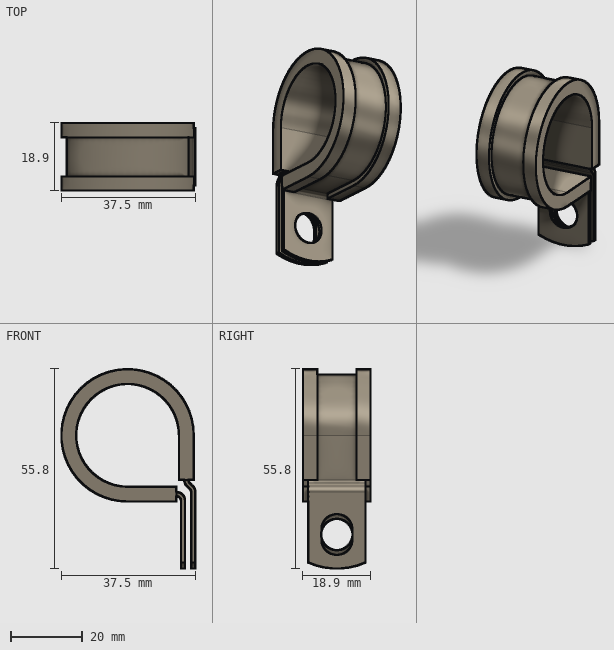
import cadquery as cq
import math


total_length = 37.48
total_height = 55.77
cushion_width = 18.92

bore_radius = 14.32
inner_rubber = 1.5
strap_thickness = 1.2
groove_depth = 1.5
strap_mid_radius = bore_radius + inner_rubber + strap_thickness / 2
strap_outer_radius = strap_mid_radius + strap_thickness / 2
cushion_radius = strap_outer_radius + groove_depth
cushion_mid_radius = (bore_radius + cushion_radius) / 2

upright_leg_length = 12.45
level_leg_length = 13.65
groove_width = 10.9

strap_width = 16.0
corner_bend_radius = 1.85
jog_bend_radius = 1.75
jog_angle = math.radians(45)

tab_end_rise = 1.7
hole_diameter = 8.7
slot_height = 11.4
hole_above_bottom = 9.55
tab_bottom = cushion_radius - total_height
outer_tab_x = total_length - cushion_radius - strap_thickness / 2
inner_tab_x = level_leg_length + corner_bend_radius


def loop_path(workplane, radius):
    """Add the three-quarter loop and its level leg, from the loop's +X point."""
    diagonal = radius * math.sqrt(0.5)
    return (
        workplane.lineTo(radius, 0)
        .threePointArc((-diagonal, diagonal), (0, -radius))
        .lineTo(level_leg_length, -radius)
    )


def sweep_section(path, start, thickness, width):
    """Sweep a rectangle up from the start point, given as (x, z), along a path in XZ."""
    x, z = start
    section = cq.Workplane("XY", origin=(x, 0, z)).rect(thickness, width)
    return section.sweep(path)


def make_loop(mid_radius, thickness, width):
    """Loop with both straight legs, of rectangular section."""
    start = (mid_radius, -upright_leg_length)
    path = loop_path(cq.Workplane("XZ").moveTo(*start), mid_radius)
    return sweep_section(path, start, thickness, width)


def make_cushion():
    """Rubber loop with a groove around its outside."""
    body = make_loop(cushion_mid_radius, cushion_radius - bore_radius, cushion_width)
    groove_mid_radius = strap_outer_radius + groove_depth / 2
    return body.cut(make_loop(groove_mid_radius, groove_depth, groove_width))


def make_strap_blank():
    """Strap of constant width: outer tab, jog, loop, corner bend and inner tab."""
    start = (outer_tab_x, tab_bottom)

    bend_shift = jog_bend_radius * (1 - math.cos(jog_angle))
    bend_rise = jog_bend_radius * math.sin(jog_angle)
    half_bend_shift = jog_bend_radius * (1 - math.cos(jog_angle / 2))
    half_bend_rise = jog_bend_radius * math.sin(jog_angle / 2)
    slope_shift = outer_tab_x - strap_mid_radius - 2 * bend_shift
    jog_top = -upright_leg_length
    jog_bottom = jog_top - 2 * bend_rise - slope_shift / math.tan(jog_angle)

    path = (
        cq.Workplane("XZ")
        .moveTo(*start)
        .lineTo(outer_tab_x, jog_bottom)
        .threePointArc(
            (outer_tab_x - half_bend_shift, jog_bottom + half_bend_rise),
            (outer_tab_x - bend_shift, jog_bottom + bend_rise),
        )
        .lineTo(strap_mid_radius + bend_shift, jog_top - bend_rise)
        .threePointArc(
            (strap_mid_radius + half_bend_shift, jog_top - half_bend_rise),
            (strap_mid_radius, jog_top),
        )
    )
    corner_diagonal = corner_bend_radius * math.sqrt(0.5)
    bend_centre_z = -strap_mid_radius - corner_bend_radius
    path = (
        loop_path(path, strap_mid_radius)
        .threePointArc(
            (level_leg_length + corner_diagonal, bend_centre_z + corner_diagonal),
            (inner_tab_x, bend_centre_z),
        )
        .lineTo(inner_tab_x, tab_bottom)
    )
    return sweep_section(path, start, strap_thickness, strap_width)


def make_bolt_hole(tab_x, height):
    """Upright slot cutter crossing one tab; a height equal to the hole diameter gives a round hole."""
    centre = (tab_x, 0, tab_bottom + hole_above_bottom)
    workplane = cq.Workplane("YZ", origin=centre)
    if height > hole_diameter:
        outline = workplane.slot2D(height, hole_diameter, 90)
    else:
        outline = workplane.circle(hole_diameter / 2)
    return outline.extrude(strap_thickness, both=True)


def make_strap():
    """Strap with rounded tab ends and a larger bolt hole in the outer tab."""
    half_width = strap_width / 2
    corner_z = tab_bottom + tab_end_rise
    outline = (
        cq.Workplane("YZ")
        .moveTo(-half_width, cushion_radius)
        .lineTo(-half_width, corner_z)
        .threePointArc((0, tab_bottom), (half_width, corner_z))
        .lineTo(half_width, cushion_radius)
        .close()
        .extrude(total_length, both=True)
    )
    inner_hole = make_bolt_hole(inner_tab_x, hole_diameter)
    outer_hole = make_bolt_hole(outer_tab_x, slot_height)
    return make_strap_blank().intersect(outline).cut(inner_hole).cut(outer_hole)


result = make_cushion().union(make_strap())